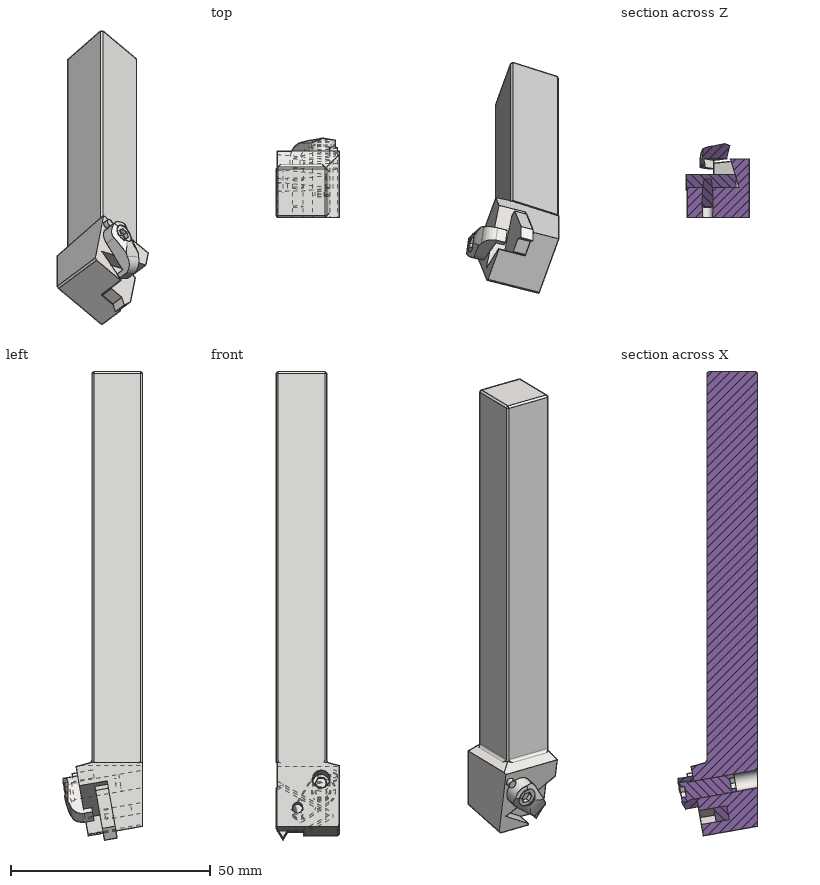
import cadquery as cq
import math

overall_height = 117.38
shank_size = 12.7
shank_chamfer = 0.5
root_fillet = 0.8

head_right = 15.88
head_inset = 0.25
head_top = 19.55
shoulder_angle = 15
head_edge_chamfer = 0.5

tilt = 10
seat_depth = 6.15
back_depth = 13.2
underside_rise = 3.45
nose_wall_x = 6.88

insert_circle = 9.525
insert_thickness = 3.25
insert_centre_rise = 8.1
insert_corner_cut = 2.0
tip_x = 1.75
tip_height = 2.0
thread_angle = 60

screw_x = 11.3
screw_rise = 15.15
screw_diameter = 4.3
screw_end_depth = 3.0
screw_head_diameter = 4.8
screw_head_seat = 15.0
screw_head_top = 16.9
socket_across_corners = 3.0
socket_depth = 1.2

clamp_boss_radius = 3.6
clamp_heel_top = 16.75
clamp_middle_top = 17.38
clamp_shoulder_top = 16.4
clamp_toe_top = 13.7
clamp_crown_radius = 5.0
clamp_nose_half_width = 1.65
clamp_nose_length = 3.2
clamp_nose_bulge = 0.5
clamp_foot_length = 1.2
clamp_foot_depth = 11.1

stop_pin_diameter = 2.0
stop_pin_top = 14.5
stop_pin_depth = 4.0

insert_pin_x = 5.4
insert_pin_rise = 8.05
insert_pin_diameter = 2.6
insert_pin_end_depth = 1.4
insert_pin_engagement = 2.0

insert_top = seat_depth + insert_thickness
insert_radius = insert_circle / 2
insert_half_side = insert_radius * math.sqrt(3)
tip_rise = insert_top * math.tan(math.radians(tilt))
flank_slope = 1 / math.tan(math.radians(thread_angle / 2))

finger_x = insert_radius - screw_x
finger_rise = insert_centre_rise - screw_rise
finger_length = math.hypot(finger_x, finger_rise)
finger_angle = math.degrees(math.atan2(finger_rise, finger_x))
stop_pin_distance = clamp_boss_radius + stop_pin_diameter / 2
stop_pin_x = screw_x - stop_pin_distance * finger_x / finger_length
stop_pin_rise = screw_rise - stop_pin_distance * finger_rise / finger_length

reach = 60


def tilted_plane(depth, x=0.0, rise=0.0):
    """Sketch plane across the insert axis: local x is X and local y is rise."""
    angle = math.radians(tilt)
    across = math.cos(angle)
    along = math.sin(angle)
    origin = (x, depth * across + rise * along, rise * across - depth * along)
    return cq.Plane(origin=origin, xDir=(1, 0, 0), normal=(0, -across, along))


def sketch_at(depth, x=0.0, rise=0.0):
    return cq.Workplane(tilted_plane(depth, x, rise))


def rod(diameter, start, end, x, rise):
    """Round bar along the insert axis from one depth to a larger one."""
    return sketch_at(start, x, rise).circle(diameter / 2).extrude(start - end)


def make_insert():
    """Triangle with blunt corners; its bottom corner is ground to a pointed thread form."""
    low_corner = insert_centre_rise - insert_half_side
    high_corner = insert_centre_rise + insert_half_side
    across = insert_corner_cut * math.cos(math.radians(30))
    along = insert_corner_cut / 2
    far_x = 3 * insert_radius
    shoulder_rise = tip_rise + tip_height
    outline = [
        (0, tip_rise + tip_x * flank_slope),
        (tip_x, tip_rise),
        (tip_x + tip_height / flank_slope, shoulder_rise),
        ((shoulder_rise - low_corner) * math.sqrt(3), shoulder_rise),
        (far_x - across, insert_centre_rise - along),
        (far_x - across, insert_centre_rise + along),
        (across, high_corner - along),
        (0, high_corner - insert_corner_cut),
    ]
    insert = sketch_at(seat_depth).polyline(outline).close().extrude(-insert_thickness)
    return insert.cut(insert_pin)


def make_shank():
    shank = cq.Workplane("XY").workplane(offset=head_top)
    shank = shank.rect(shank_size, shank_size, centered=False).extrude(overall_height - head_top)
    return shank.edges("|Z or >Z").chamfer(shank_chamfer)


def make_head():
    """Block under the shank, with sloping shoulders and a tilted back face and underside."""
    drop = math.tan(math.radians(shoulder_angle))
    fall = (reach - shank_size) * drop
    width = head_right - head_inset
    back_shoulder = [
        (0, -reach),
        (0, head_top),
        (shank_size, head_top),
        (reach, head_top - fall),
        (reach, -reach),
    ]
    side_shoulder = [
        (head_inset, -reach),
        (head_inset, head_top),
        (shank_size, head_top),
        (head_right, head_top - (head_right - shank_size) * drop),
        (head_right, -reach),
    ]
    head = cq.Workplane("YZ").workplane(offset=head_inset)
    head = head.polyline(back_shoulder).close().extrude(width)
    head = head.intersect(cq.Workplane("XZ").polyline(side_shoulder).close().extrude(-reach))
    envelope = sketch_at(-reach).moveTo(head_inset, underside_rise)
    envelope = envelope.lineTo(head_inset, reach).lineTo(head_right, reach)
    envelope = envelope.lineTo(head_right, underside_rise + head_edge_chamfer)
    envelope = envelope.lineTo(head_right - head_edge_chamfer, underside_rise).close()
    return head.intersect(envelope.extrude(-reach - back_depth))


def make_pocket():
    """Triangular seat for the insert, open to the -X side and below its tip."""
    corner_low = insert_centre_rise - insert_half_side
    corner_high = insert_centre_rise + insert_half_side
    far_corner = (3 * insert_radius, insert_centre_rise)
    pocket = sketch_at(seat_depth).polyline([(0, corner_low), far_corner, (0, corner_high)]).close()
    pocket = pocket.extrude(seat_depth - reach)
    wall_rise = corner_low + nose_wall_x / math.sqrt(3)
    opening = sketch_at(seat_depth).polyline(
        [(0, corner_low), (nose_wall_x, corner_low), (nose_wall_x, wall_rise)]
    )
    return pocket.union(opening.close().extrude(seat_depth - reach))


def make_holder():
    holder = make_shank().union(make_head())
    root_middles = [(shank_size / 2, shank_size, head_top), (shank_size, shank_size / 2, head_top)]
    for middle in root_middles:
        holder = holder.edges(cq.selectors.NearestToPointSelector(middle)).fillet(root_fillet)
    holder = holder.cut(make_pocket())
    holder = holder.cut(rod(screw_diameter, -reach, reach, screw_x, screw_rise))
    holder = holder.cut(rod(insert_pin_diameter, -reach, reach, insert_pin_x, insert_pin_rise))
    return holder.cut(stop_pin)


def make_clamp():
    """Hooked finger that runs from the boss on the screw to a foot over the insert."""
    lean = math.asin((clamp_boss_radius - clamp_nose_half_width) / finger_length)
    tangent_along = clamp_boss_radius * math.sin(lean)
    tangent_across = clamp_boss_radius * math.cos(lean)
    plan = tilted_plane(0, screw_x, screw_rise).rotated((0, 0, finger_angle))
    clamp = cq.Workplane(plan).moveTo(tangent_along, tangent_across)
    clamp = clamp.threePointArc((-clamp_boss_radius, 0), (tangent_along, -tangent_across))
    clamp = clamp.lineTo(finger_length, -clamp_nose_half_width)
    clamp = clamp.lineTo(finger_length, clamp_nose_half_width).close().extrude(-reach)
    shoulder = finger_length - clamp_nose_length
    middle = (shoulder - clamp_boss_radius) / 2
    nose_middle = (
        finger_length - clamp_nose_length / 2 + clamp_nose_bulge,
        (clamp_shoulder_top + clamp_toe_top) / 2 + clamp_nose_bulge,
    )
    foot_start = finger_length - clamp_foot_length
    side = cq.Workplane(cq.Plane(plan.origin, xDir=plan.xDir, normal=plan.yDir))
    profile = side.moveTo(-clamp_boss_radius, back_depth).lineTo(-clamp_boss_radius, clamp_heel_top)
    profile = profile.threePointArc((middle, clamp_middle_top), (shoulder, clamp_shoulder_top))
    profile = profile.threePointArc(nose_middle, (finger_length, clamp_toe_top))
    profile = profile.lineTo(finger_length, clamp_foot_depth).lineTo(foot_start, clamp_foot_depth)
    profile = profile.lineTo(foot_start, back_depth).close()
    clamp = clamp.intersect(profile.extrude(clamp_boss_radius, both=True))
    crown = cq.Workplane(cq.Plane(plan.origin, xDir=plan.yDir, normal=plan.xDir))
    crown = crown.center(0, clamp_crown_radius - clamp_middle_top).circle(clamp_crown_radius)
    crown = crown.extrude(reach, both=True)
    clamp = clamp.intersect(crown)
    clamp = clamp.cut(rod(screw_diameter, 0, reach, screw_x, screw_rise))
    return clamp.cut(rod(screw_head_diameter, screw_head_seat, reach, screw_x, screw_rise))


def hex_socket(start, end):
    return sketch_at(start, screw_x, screw_rise).polygon(6, socket_across_corners).extrude(start - end)


def make_clamp_screw():
    screw = rod(screw_diameter, screw_end_depth, screw_head_seat, screw_x, screw_rise)
    screw = screw.union(rod(screw_head_diameter, screw_head_seat, screw_head_top, screw_x, screw_rise))
    screw = screw.cut(hex_socket(screw_head_top - socket_depth, screw_head_top))
    return screw.cut(hex_socket(screw_end_depth, screw_end_depth + socket_depth))


stop_pin = rod(stop_pin_diameter, back_depth - stop_pin_depth, stop_pin_top, stop_pin_x, stop_pin_rise)
insert_pin = rod(
    insert_pin_diameter,
    insert_pin_end_depth,
    seat_depth + insert_pin_engagement,
    insert_pin_x,
    insert_pin_rise,
)
insert = make_insert()
holder = make_holder()
clamp = make_clamp()
clamp_screw = make_clamp_screw()

result = cq.Compound.makeCompound(
    [holder.val(), insert.val(), clamp.val(), clamp_screw.val(), stop_pin.val(), insert_pin.val()]
)